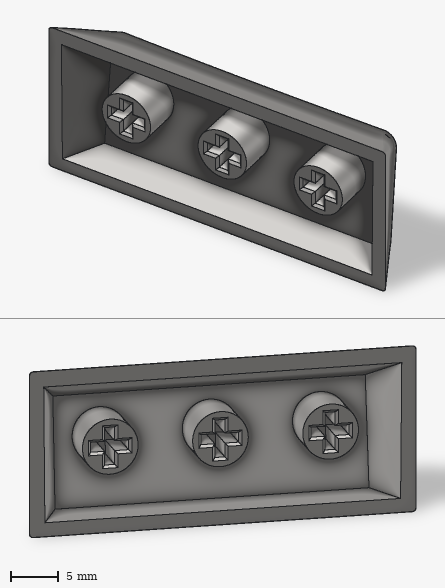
import cadquery as cq
import math


LENGTH = 41.7
DEPTH = 18.1
RIM_CORNER_RADIUS = 0.4

UPPER_LEAN = 0.474
END_LEAN = 0.43

TOP_TILT = math.radians(6.2)
CROWN_HEIGHT = 7.55
TRIM_ALLOWANCE = 0.63
TOP_CORNER_RADIUS = 1.75
SHELL_SECTIONS = 7
DISH_RADIUS = 350.3
DISH_DEPTH = 0.5
TOP_EDGE_FILLET = 0.3

RIM_WALL_UPPER = 1.75
RIM_WALL_LOWER = 1.55
OPENING_HALF_UPPER = 19.3
OPENING_HALF_LOWER = 19.2
FLOOR_HALF_UPPER = 16.85
FLOOR_HALF_LOWER = 16.95
FLOOR_UPPER_Z = 4.45
FLOOR_LOWER_HEIGHT = 4.7

STEM_SPACING = 11.9
STEM_COUNT = 3
STEM_DIAMETER = 6.0
STEM_END_HEIGHT = 1.0
CROSS_SPAN = 4.65
CROSS_ARM_WIDTH = 1.65
CROSS_CHAMFER = 0.3

HALF_DEPTH = DEPTH / 2
BLANK_HEIGHT = CROWN_HEIGHT + TRIM_ALLOWANCE
BLANK_TOP_DEPTH = DEPTH - UPPER_LEAN * BLANK_HEIGHT
BLANK_LOWER_HEIGHT = BLANK_HEIGHT - BLANK_TOP_DEPTH * math.tan(TOP_TILT)
TOP_NORMAL = cq.Vector(0, math.cos(TOP_TILT), -math.sin(TOP_TILT))


def trapezoid(upper_half, upper_y, upper_z, lower_half, lower_y, lower_z):
    """Closed outline, symmetric about x = 0, between an upper and a lower edge."""
    corners = [
        (-upper_half, upper_y, upper_z),
        (upper_half, upper_y, upper_z),
        (lower_half, lower_y, lower_z),
        (-lower_half, lower_y, lower_z),
    ]
    return cq.Wire.makePolygon([cq.Vector(*corner) for corner in corners], close=True)


def rounded(outline, radius):
    return outline.fillet2D(radius, outline.Vertices())


def shell_section(fraction):
    """Outline of the shell at a fraction of the way from the rim to the untrimmed top."""
    upper_y = BLANK_HEIGHT * fraction
    upper_z = HALF_DEPTH - UPPER_LEAN * upper_y
    lower_y = BLANK_LOWER_HEIGHT * fraction
    half_length = LENGTH / 2 - END_LEAN * upper_y
    outline = trapezoid(half_length, upper_y, upper_z, half_length, lower_y, -HALF_DEPTH)
    growth = fraction**2 * (3 - 2 * fraction)
    return rounded(outline, RIM_CORNER_RADIUS + (TOP_CORNER_RADIUS - RIM_CORNER_RADIUS) * growth)


def make_shell():
    sections = [shell_section(index / (SHELL_SECTIONS - 1)) for index in range(SHELL_SECTIONS)]
    blank = cq.Workplane(cq.Solid.makeLoft(sections))

    crown = cq.Vector(0, CROWN_HEIGHT, HALF_DEPTH - UPPER_LEAN * CROWN_HEIGHT)
    axis_point = crown + TOP_NORMAL * (DISH_RADIUS - DISH_DEPTH)
    dish_plane = cq.Plane(axis_point, (1, 0, 0), TOP_NORMAL.cross(cq.Vector(1, 0, 0)))
    dish = cq.Workplane(dish_plane).circle(DISH_RADIUS).extrude(2 * DEPTH, both=True)
    shell = blank.cut(dish)
    return shell.faces(">Y").edges().fillet(TOP_EDGE_FILLET)


def floor_height(z):
    return FLOOR_LOWER_HEIGHT + (z + HALF_DEPTH - RIM_WALL_LOWER) * math.tan(TOP_TILT)


def make_cavity():
    lower_z = RIM_WALL_LOWER - HALF_DEPTH
    opening = trapezoid(OPENING_HALF_UPPER, 0, HALF_DEPTH - RIM_WALL_UPPER, OPENING_HALF_LOWER, 0, lower_z)
    floor = trapezoid(
        FLOOR_HALF_UPPER, floor_height(FLOOR_UPPER_Z), FLOOR_UPPER_Z,
        FLOOR_HALF_LOWER, floor_height(lower_z), lower_z,
    )
    return cq.Workplane(cq.Solid.makeLoft([opening, floor], True))


def stem_workplane(x):
    plane = cq.Plane((x, STEM_END_HEIGHT, 0), (1, 0, 0), (0, 1, 0))
    return cq.Workplane(plane)


def make_cross(x, inset, depth, taper=0):
    workplane = stem_workplane(x)
    span = CROSS_SPAN - 2 * inset
    width = CROSS_ARM_WIDTH - 2 * inset
    horizontal = workplane.rect(span, width).extrude(depth, taper=taper)
    vertical = workplane.rect(width, span).extrude(depth, taper=taper)
    return horizontal.union(vertical)


def make_socket(x):
    """Cross-shaped socket with a chamfered mouth, deep enough to pass the cavity floor."""
    lead_in = make_cross(x, 0, CROSS_CHAMFER, taper=45)
    return lead_in.union(make_cross(x, CROSS_CHAMFER, CROWN_HEIGHT))


cavity = make_cavity()
for index in range(STEM_COUNT):
    stem_x = (index - (STEM_COUNT - 1) / 2) * STEM_SPACING
    stem = stem_workplane(stem_x).circle(STEM_DIAMETER / 2).extrude(CROWN_HEIGHT)
    socket_space = cavity.intersect(make_socket(stem_x))
    cavity = cavity.cut(stem).union(socket_space)

result = make_shell().cut(cavity)